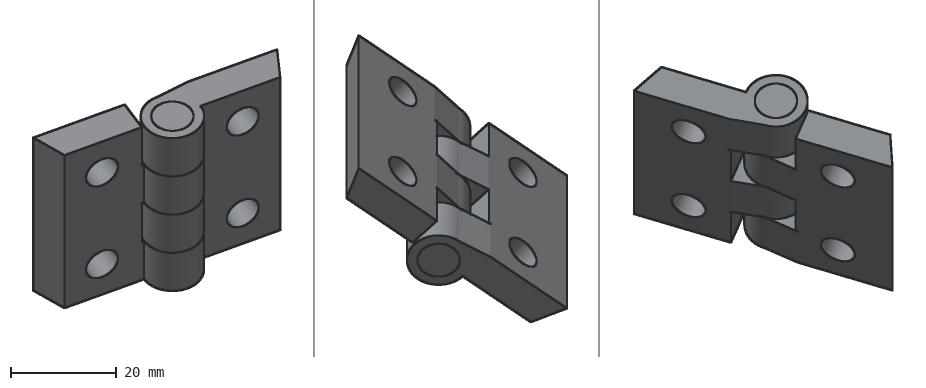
import cadquery as cq

leaf_thickness = 7.0
leaf_reach = 26.0
outer_edge_bevel = 3.0
inner_edge = 6.5
end_slope_start = 7.0

knuckle_radius = 6.0
knuckle_height = 10.0
knuckle_count = 4
pin_diameter = 8.0

hole_diameter = 6.8
hole_from_axis = 15.0
hole_spacing = 24.0

hinge_height = knuckle_count * knuckle_height
hinge_bottom = -hinge_height / 2


def make_plate(side):
    """Flat plate with a slanted outer edge; side is +1 or -1 along Y."""
    profile = [
        (-leaf_thickness, side * inner_edge),
        (-leaf_thickness, side * leaf_reach),
        (0, side * (leaf_reach - outer_edge_bevel)),
        (0, side * inner_edge),
    ]
    return (
        cq.Workplane("XY", origin=(0, 0, hinge_bottom))
        .polyline(profile)
        .close()
        .extrude(hinge_height)
    )


def make_knuckle(side, index):
    """Barrel and the web joining it to the plate; index counts up from the bottom."""
    at_end = index in (0, knuckle_count - 1)
    slope_start = end_slope_start if at_end else inner_edge
    base = cq.Workplane("XY", origin=(0, 0, hinge_bottom + index * knuckle_height))
    barrel = base.circle(knuckle_radius).extrude(knuckle_height)
    web_profile = [
        (0, 0),
        (-knuckle_radius, 0),
        (-leaf_thickness, side * slope_start),
        (0, side * slope_start),
    ]
    web = base.polyline(web_profile).close().extrude(knuckle_height)
    return barrel.union(web)


def cut_end_slope(plate, side, index):
    """Carry the slope of an end knuckle onto the inner edge of the plate."""
    slope_profile = [
        (-leaf_thickness, side * end_slope_start),
        (-knuckle_radius, 0),
        (-leaf_thickness, 0),
    ]
    wedge = (
        cq.Workplane("XY", origin=(0, 0, hinge_bottom + index * knuckle_height))
        .polyline(slope_profile)
        .close()
        .extrude(knuckle_height)
    )
    return plate.cut(wedge)


def make_pin():
    """Pin filling the bore over the whole height of the hinge."""
    return (
        cq.Workplane("XY", origin=(0, 0, hinge_bottom))
        .circle(pin_diameter / 2)
        .extrude(hinge_height)
    )


def make_mounting_holes(side):
    """Two through holes along X, one above the other."""
    return (
        cq.Workplane("YZ", origin=(-leaf_thickness, side * hole_from_axis, 0))
        .pushPoints([(0, -hole_spacing / 2), (0, hole_spacing / 2)])
        .circle(hole_diameter / 2)
        .extrude(leaf_thickness)
    )


def make_leaf(side, knuckle_indices, end_index):
    """One leaf: plate, its own knuckles, pin bore and mounting holes."""
    leaf = cut_end_slope(make_plate(side), side, end_index)
    for index in knuckle_indices:
        leaf = leaf.union(make_knuckle(side, index))
    return leaf.cut(make_pin()).cut(make_mounting_holes(side))


upper_leaf = make_leaf(1, range(1, knuckle_count, 2), knuckle_count - 1)
lower_leaf = make_leaf(-1, range(0, knuckle_count, 2), 0)
pin = make_pin()

result = cq.Compound.makeCompound(
    [upper_leaf.solids().val(), lower_leaf.solids().val(), pin.val()]
)